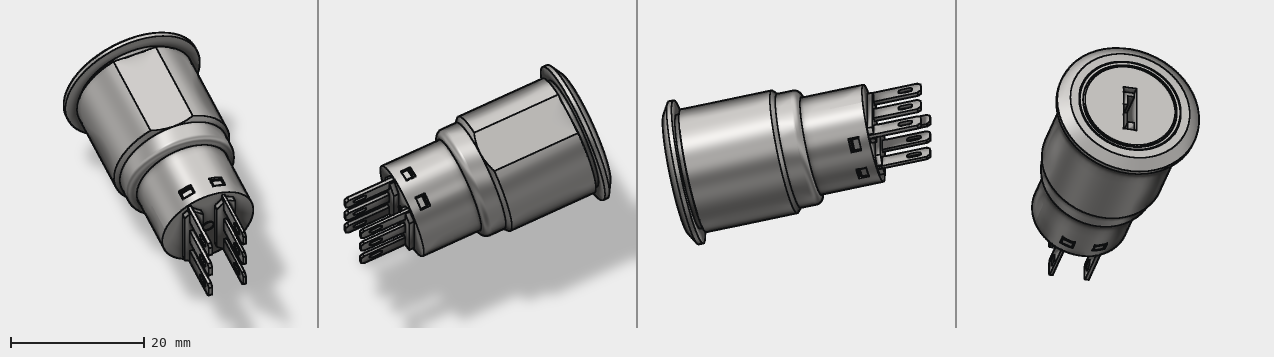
import cadquery as cq
import math

TOTAL_LENGTH = 38.5
FLANGE_BEVEL_END = 1.08
FLANGE_BACK = 1.8
NECK_END = 2.58
BARREL_CHAMFER_END = 17.3
HOUSING_END = 20.8
CORE_END = 30.35

FLANGE_DIAMETER = 22.0
FLANGE_FACE_DIAMETER = 18.48
NECK_DIAMETER = 17.5
BARREL_DIAMETER = 18.85
BARREL_CHAMFER = (BARREL_DIAMETER - NECK_DIAMETER) / 2
HOUSING_END_FILLET = 1.08
FLAT_HEIGHT = 8.78
BORE_DIAMETER = 15.0
COUNTERBORE_DIAMETER = 15.8
COUNTERBORE_DEPTH = 3.85

HEAD_DIAMETER = 15.5
SHAFT_DIAMETER = 14.9
ROTOR_DIAMETER = 14.5
ROTOR_FACE_DIAMETER = 13.95
ROTOR_BEVEL_DEPTH = 0.15

KEYWAY_HALF_WIDTH = 1.0
KEYWAY_TOP = 3.27
KEYWAY_BOTTOM = -4.25
KEYWAY_DEPTH = 1.3
PASSAGE_DEPTH = 5.78
PASSAGE_TOP_LEFT = 1.08
PASSAGE_TOP_RIGHT = 2.6
PASSAGE_BOTTOM = -2.05
WARD_BOTTOM = -3.55
WARD_DEPTH = 3.08

SIDE_PANEL_START = 25.35
SIDE_PANEL_WIDTH = 5.25
SIDE_PANEL_INNER_Y = 5.78

WINDOW_START = 27.3
WINDOW_LENGTH = 1.55
WINDOW_WIDTH = 2.08
WINDOW_DEPTH = 0.45
WINDOW_ANGLE = 19.8
LATCH_WIDTH = 1.7
LATCH_RECESS = 0.15
LATCH_RAMP_START = 0.27
LATCH_RAMP_END = 0.55

BACK_BOSS_DIAMETER = 1.85
BACK_BOSS_HEIGHT = 0.15
PLATE_HEIGHT = 0.8
PLATE_INNER_Y = 1.1
PLATE_RIDGE_Y = 2.6
PLATE_OUTER_Y = 4.12
PLATE_TOP_RADIUS = 6.45
PLATE_BOTTOM_RADIUS = 6.93

TERMINAL_WIDTH = 2.8
TERMINAL_PITCH = 5.0
TERMINAL_TIP_CHAMFER = 0.5
TERMINAL_SLOT_LENGTH = 2.15
TERMINAL_SLOT_WIDTH = 1.08
TERMINAL_SLOT_TO_TIP = 2.45
FRONT_ROW_Y = -3.0
FRONT_ROW_THICKNESS = 0.58
FRONT_ROW_TIP = 38.4
BACK_ROW_Y = 2.5
BACK_ROW_THICKNESS = 0.45


def disc(start, end, diameter):
    """Solid cylinder along X between two stations."""
    return cq.Workplane("YZ", origin=(start, 0, 0)).circle(diameter / 2).extrude(end - start)


def block(x_range, y_range, z_range):
    """Box given by its limits along each axis."""
    limits = (x_range, y_range, z_range)
    sizes = [high - low for low, high in limits]
    corner = tuple(low for low, high in limits)
    return cq.Workplane("XY", origin=corner).box(*sizes, centered=False)


def make_housing():
    """Flanged metal sleeve, flattened on top, with a stepped bore for the core."""
    neck_radius = NECK_DIAMETER / 2
    barrel_radius = BARREL_DIAMETER / 2
    outline = [
        (0, 0),
        (0, FLANGE_FACE_DIAMETER / 2),
        (FLANGE_BEVEL_END, FLANGE_DIAMETER / 2),
        (FLANGE_BACK, FLANGE_DIAMETER / 2),
        (FLANGE_BACK, neck_radius),
        (NECK_END, neck_radius),
        (NECK_END, barrel_radius),
        (BARREL_CHAMFER_END - BARREL_CHAMFER, barrel_radius),
        (BARREL_CHAMFER_END, neck_radius),
        (HOUSING_END, neck_radius),
        (HOUSING_END, 0),
    ]
    housing = cq.Workplane("XY").polyline(outline).close().revolve(360, (0, 0, 0), (1, 0, 0))
    housing = housing.faces(">X").edges().fillet(HOUSING_END_FILLET)
    flat_cut = block(
        (NECK_END, BARREL_CHAMFER_END),
        (-barrel_radius, barrel_radius),
        (FLAT_HEIGHT, barrel_radius),
    )
    housing = housing.cut(flat_cut)
    housing = housing.cut(disc(0, COUNTERBORE_DEPTH, COUNTERBORE_DIAMETER))
    return housing.cut(disc(0, HOUSING_END, BORE_DIAMETER))


def rotor_groove():
    """Bevelled ring around the rotor: a straight outer wall and a conical inner wall."""
    profile = [(0, ROTOR_FACE_DIAMETER / 2), (0, ROTOR_DIAMETER / 2), (ROTOR_BEVEL_DEPTH, ROTOR_DIAMETER / 2)]
    return cq.Workplane("XY").polyline(profile).close().revolve(360, (0, 0, 0), (1, 0, 0))


def keyway():
    """Entry slot, the offset passage behind it and the ward pocket below the passage."""
    left = (0, KEYWAY_HALF_WIDTH)
    right = (-KEYWAY_HALF_WIDTH, 0)
    entry = block((0, KEYWAY_DEPTH), (right[0], left[1]), (KEYWAY_BOTTOM, KEYWAY_TOP))
    passage_left = block((0, PASSAGE_DEPTH), left, (PASSAGE_BOTTOM, PASSAGE_TOP_LEFT))
    passage_right = block((0, PASSAGE_DEPTH), right, (PASSAGE_BOTTOM, PASSAGE_TOP_RIGHT))
    ward = block((0, WARD_DEPTH), left, (WARD_BOTTOM, PASSAGE_BOTTOM))
    return entry.union(passage_left).union(passage_right).union(ward)


def side_panels():
    """Pieces of the shaft wall at -Y and +Y that carry the flush rectangular panels."""
    half_width = SIDE_PANEL_WIDTH / 2
    station = (SIDE_PANEL_START, CORE_END)
    panel = block(station, (SIDE_PANEL_INNER_Y, SHAFT_DIAMETER), (-half_width, half_width))
    panel = panel.intersect(disc(*station, SHAFT_DIAMETER))
    return panel, panel.mirror("XZ")


def latch_window(angle):
    """Pocket around a ramped latch, turned about X from the top of the shaft."""
    top = SHAFT_DIAMETER / 2
    floor = top - WINDOW_DEPTH
    latch_top = top - LATCH_RECESS
    window_end = WINDOW_START + WINDOW_LENGTH
    window = block((WINDOW_START, window_end), (-WINDOW_WIDTH / 2, WINDOW_WIDTH / 2), (floor, top))
    latch_profile = [
        (WINDOW_START + LATCH_RAMP_START, floor),
        (WINDOW_START + LATCH_RAMP_END, latch_top),
        (window_end, latch_top),
        (window_end, floor),
    ]
    latch = cq.Workplane("XZ").polyline(latch_profile).close().extrude(LATCH_WIDTH / 2, both=True)
    return window.cut(latch).rotate((0, 0, 0), (1, 0, 0), angle)


def back_plate():
    """Raised plate on the -Y half of the back face, arched at its ends and bevelled inwards."""
    def arc_z(radius, y):
        return math.sqrt(radius**2 - y**2)

    bevel = PLATE_RIDGE_Y - PLATE_INNER_Y
    middle_y = (PLATE_RIDGE_Y + PLATE_OUTER_Y) / 2
    top_ridge = arc_z(PLATE_TOP_RADIUS, PLATE_RIDGE_Y)
    bottom_ridge = -arc_z(PLATE_BOTTOM_RADIUS, PLATE_RIDGE_Y)
    return (
        cq.Workplane("YZ", origin=(CORE_END, 0, 0))
        .moveTo(-PLATE_INNER_Y, top_ridge - bevel)
        .lineTo(-PLATE_RIDGE_Y, top_ridge)
        .threePointArc(
            (-middle_y, arc_z(PLATE_TOP_RADIUS, middle_y)),
            (-PLATE_OUTER_Y, arc_z(PLATE_TOP_RADIUS, PLATE_OUTER_Y)),
        )
        .lineTo(-PLATE_OUTER_Y, -arc_z(PLATE_BOTTOM_RADIUS, PLATE_OUTER_Y))
        .threePointArc(
            (-middle_y, -arc_z(PLATE_BOTTOM_RADIUS, middle_y)),
            (-PLATE_RIDGE_Y, bottom_ridge),
        )
        .lineTo(-PLATE_INNER_Y, bottom_ridge + bevel)
        .close()
        .extrude(PLATE_HEIGHT)
    )


def terminal(y, z, thickness, tip):
    """Flat solder lug with a chamfered tip and a wire slot."""
    sides = (y - thickness / 2, y + thickness / 2)
    lug = block((CORE_END, tip), sides, (z - TERMINAL_WIDTH / 2, z + TERMINAL_WIDTH / 2))
    lug = lug.faces(">X").edges("|Y").chamfer(TERMINAL_TIP_CHAMFER)
    wire_slot = (
        cq.Workplane("XZ", origin=(TOTAL_LENGTH - TERMINAL_SLOT_TO_TIP, sides[1], z))
        .slot2D(TERMINAL_SLOT_LENGTH, TERMINAL_SLOT_WIDTH)
        .extrude(thickness)
    )
    return lug.cut(wire_slot)


def make_core():
    """Lock rotor, shaft and terminals, carried by the housing."""
    core = disc(0, COUNTERBORE_DEPTH, HEAD_DIAMETER).union(disc(0, CORE_END, SHAFT_DIAMETER))
    core = core.cut(rotor_groove()).cut(keyway())
    for angle in (WINDOW_ANGLE, -WINDOW_ANGLE, 180 + WINDOW_ANGLE, 180 - WINDOW_ANGLE):
        core = core.cut(latch_window(angle))

    core = core.union(disc(CORE_END, CORE_END + BACK_BOSS_HEIGHT, BACK_BOSS_DIAMETER))
    plate = back_plate()
    core = core.union(plate).union(plate.mirror("XZ"))
    for z in (-TERMINAL_PITCH, 0, TERMINAL_PITCH):
        core = core.union(terminal(FRONT_ROW_Y, z, FRONT_ROW_THICKNESS, FRONT_ROW_TIP))
        core = core.union(terminal(BACK_ROW_Y, z, BACK_ROW_THICKNESS, TOTAL_LENGTH))

    for panel in side_panels():
        core = core.cut(panel, clean=False).union(panel, clean=False)
    return core


housing = make_housing()
core = make_core()

result = cq.Compound.makeCompound([housing.val(), core.val()])